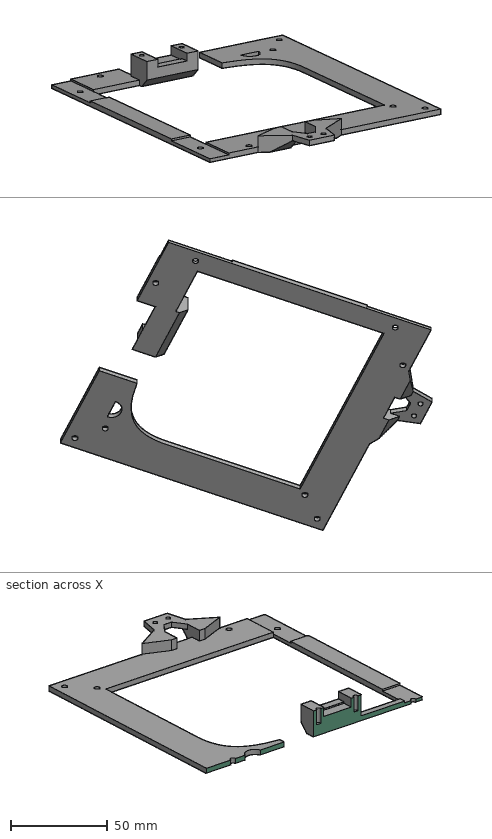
import cadquery as cq

frame_length = 148.0
frame_width = 144.0
plate_thickness = 3.0
window_right = 126.4
window_top = 123.4
left_arm_width = 21.3
upper_arm_end = 92.1
lower_arm_end = 41.9
bar_width = 11.8

curve_end_x = 50.7
curve_mid = (28.9, 115.3)
curve_start_direction = (0.1, 1)

pad_length = 36.0
pad_thickness = 2.0

screw_diameter = 3.0
screw_positions = [(5.7, 138.0), (17.7, 126.0), (4.4, 27.4), (17.7, 5.9)]

half_round_radius = 5.4
half_round_x = 15.7
half_round_y = 113.0

pilot_diameter = 2.5
block_left = 13.2
block_right = 28.2
block_front = 40.5
block_back = 72.5
block_height = 15.0
block_undercut = 4.9
post_width = 7.0
saddle_height = 10.0
ledge_height = 10.8
ledge_left = 23.5
block_pilot_x = 18.0
block_pilot_inset = 3.5
block_pilot_depth = 8.5

bracket_centre_y = 56.0
bracket_left = 142.0
bracket_waist_x = 157.2
bracket_right = 169.0
bracket_top = 9.1
tongue_thickness = 3.0
prong_reach = 26.0
prong_heel = 11.2
waist_half_width = 10.5
tongue_half_width = 7.8
fork_half_gap = 7.5
fork_throat_x = 152.0
fork_end_x = 159.0
fork_end_half_width = 2.5
bracket_hole_x = 164.0
bracket_hole_spacing = 8.6


def box(x_range, y_range, z_range):
    """Box spanning the given (low, high) ranges."""
    size = [high - low for low, high in (x_range, y_range, z_range)]
    corner = (x_range[0], y_range[0], z_range[0])
    return cq.Workplane("XY").box(*size, centered=False).translate(corner)


def make_frame():
    """Open frame with its pads, screw holes and half-round opening."""
    frame = (
        cq.Workplane("XY")
        .moveTo(0, 0)
        .lineTo(frame_length, 0)
        .lineTo(frame_length, frame_width)
        .lineTo(0, frame_width)
        .lineTo(0, upper_arm_end)
        .lineTo(left_arm_width, upper_arm_end)
        .spline(
            [curve_mid, (curve_end_x, window_top)],
            tangents=[curve_start_direction, (1, 0)],
            includeCurrent=True,
        )
        .lineTo(window_right, window_top)
        .lineTo(window_right, bar_width)
        .lineTo(left_arm_width, bar_width)
        .lineTo(left_arm_width, lower_arm_end)
        .lineTo(0, lower_arm_end)
        .close()
        .extrude(plate_thickness)
    )
    for pad_start in (0, frame_length - pad_length):
        frame = frame.cut(
            box(
                (pad_start, pad_start + pad_length),
                (0, bar_width),
                (pad_thickness, plate_thickness),
            )
        )
    mirrored_positions = [(frame_length - x, y) for x, y in screw_positions]
    screw_holes = (
        cq.Workplane("XY")
        .pushPoints(screw_positions + mirrored_positions)
        .circle(screw_diameter / 2)
        .extrude(plate_thickness)
    )
    half_round = (
        cq.Workplane("XY")
        .moveTo(half_round_x, half_round_y - half_round_radius)
        .threePointArc(
            (half_round_x + half_round_radius, half_round_y),
            (half_round_x, half_round_y + half_round_radius),
        )
        .close()
        .extrude(plate_thickness)
    )
    return frame.cut(screw_holes).cut(half_round)


def make_block():
    """Block with 45 degree lower flanks, a stepped saddle and two blind holes."""
    profile = [
        (block_left - plate_thickness, 0),
        (block_left, plate_thickness),
        (block_left, block_height),
        (block_right, block_height),
        (block_right, block_undercut),
        (block_right - block_undercut, 0),
    ]
    block = (
        cq.Workplane("XZ", origin=(0, block_front, 0))
        .polyline(profile)
        .close()
        .extrude(block_front - block_back)
    )
    block = block.cut(
        box((0, block_left), (block_front, lower_arm_end), (0, plate_thickness))
    )
    saddle_y = (block_front + post_width, block_back - post_width)
    block = block.cut(
        box((block_left, ledge_left), saddle_y, (saddle_height, block_height))
    )
    block = block.cut(
        box((ledge_left, block_right), saddle_y, (ledge_height, block_height))
    )
    pilots = (
        cq.Workplane("XY", origin=(0, 0, block_height))
        .pushPoints(
            [
                (block_pilot_x, block_front + block_pilot_inset),
                (block_pilot_x, block_back - block_pilot_inset),
            ]
        )
        .circle(pilot_diameter / 2)
        .extrude(-block_pilot_depth)
    )
    return block.cut(pilots)


def make_bracket():
    """Forked outline whose underside rises at 45 degrees to a thin tongue."""
    upper_half = [
        (bracket_right, tongue_half_width),
        (bracket_waist_x, waist_half_width),
        (frame_length, prong_reach),
        (bracket_left, prong_heel),
        (bracket_left, fork_half_gap),
        (fork_throat_x, fork_half_gap),
        (fork_end_x, fork_end_half_width),
    ]
    lower_half = [(x, -y) for x, y in reversed(upper_half)]
    outline = (
        cq.Workplane("XY", origin=(0, bracket_centre_y, 0))
        .polyline(upper_half + lower_half)
        .close()
        .extrude(bracket_top)
    )
    tongue_bottom = bracket_top - tongue_thickness
    side_profile = [
        (bracket_left, 0),
        (bracket_waist_x - tongue_bottom, 0),
        (bracket_waist_x, tongue_bottom),
        (bracket_right, tongue_bottom),
        (bracket_right, bracket_top),
        (bracket_left, bracket_top),
    ]
    side = (
        cq.Workplane("XZ", origin=(0, bracket_centre_y, 0))
        .polyline(side_profile)
        .close()
        .extrude(prong_reach, both=True)
    )
    holes = (
        cq.Workplane("XY", origin=(bracket_hole_x, bracket_centre_y, 0))
        .rarray(1.7, bracket_hole_spacing, 1, 2)
        .circle(pilot_diameter / 2)
        .extrude(bracket_top)
    )
    fork_gap = box(
        (bracket_left, bracket_right),
        (bracket_centre_y - fork_half_gap, bracket_centre_y + fork_half_gap),
        (0, tongue_bottom),
    )
    return outline.intersect(side).cut(fork_gap).cut(holes)


result = make_frame().union(make_block()).union(make_bracket())